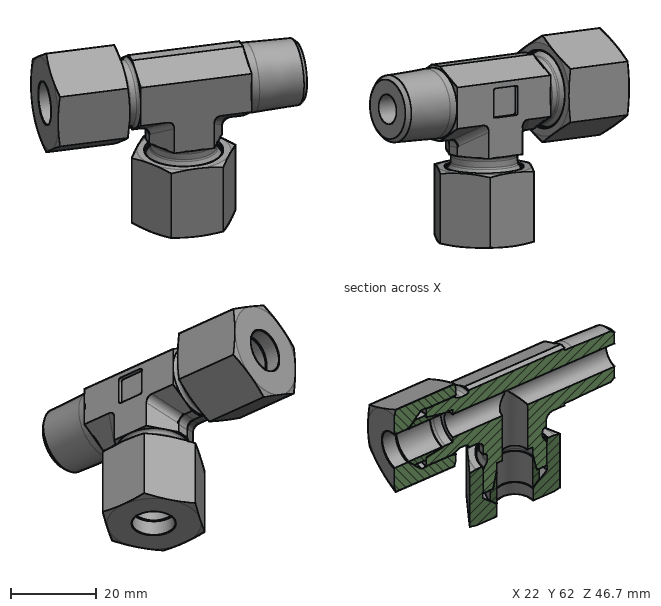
import cadquery as cq
import math


block_width = 17.0
block_height = 17.8
port_shoulder = 13.0
stud_shoulder = 14.0
inner_corner_radius = 2.0
bore_diameter = 7.0

badge_size = 7.0
badge_corner_radius = 0.6
badge_depth = 1.0

stud_end = 28.0
stud_diameter = 16.55
stud_collar_length = 2.0
stud_taper = 1 / 16
stud_chamfer_length = 1.05
stud_tip_diameter = 14.0

neck_diameter = 15.7
neck_length = 2.35
shoulder_fillet_length = 0.9
thread_diameter = 18.0
thread_chamfer_angle = 30
relief_radius = 0.9
port_end = 25.0
socket_bottom = 17.5
socket_diameter = 10.0
mouth_diameter = 12.3
mouth_half_angle = 12

ferrule_diameter = 14.0
ferrule_nose_wall = 0.2
ferrule_back_gap = 0.3

nut_across_flats = 22.0
nut_outer_end = 34.0
nut_length = 17.5
nut_bore_diameter = 10.15
nut_bore_length = 3.8
nut_bore_chamfer = 0.1
nut_countersink_diameter = 18.6
nut_chamfer_angle = 15

hex_corner_ratio = 1 / math.cos(math.pi / 6)
block_corner_radius = block_width / 2 * hex_corner_ratio
bore_radius = bore_diameter / 2
neck_radius = neck_diameter / 2
thread_radius = thread_diameter / 2
socket_radius = socket_diameter / 2
mouth_radius = mouth_diameter / 2
mouth_slope = math.tan(math.radians(mouth_half_angle))
nut_bore_radius = nut_bore_diameter / 2
nut_inner_end = nut_outer_end - nut_length
nut_seat_end = nut_outer_end - nut_bore_length
nut_seat_start = nut_seat_end - (thread_radius - nut_bore_radius)


def revolve_about_run(profile):
    """Turn a closed (radius, distance) profile about the Y axis, pointing it toward -Y."""
    return profile.close().revolve(360, (0, 0, 0), (0, 1, 0)).mirror("XZ")


def turn_to_branch(body):
    """Swing a body from the -Y port to the -Z port."""
    return body.rotate((0, 0, 0), (1, 0, 0), 90)


def hexagon_along_run(across_flats, start, end):
    """Hexagonal bar toward -Y, with flats on +/-X and corners on +/-Z."""
    return (
        cq.Workplane("XZ")
        .polygon(6, across_flats * hex_corner_ratio)
        .extrude(end - start)
        .rotate((0, 0, 0), (0, 1, 0), 30)
        .translate((0, -start, 0))
    )


def block_bar(start, end):
    """Hexagonal bar of the tee block, its top and bottom corners cut flat."""
    length = end - start
    flat_limit = (
        cq.Workplane("XY")
        .box(block_width, length, block_height)
        .translate((0, -(start + end) / 2, 0))
    )
    return hexagon_along_run(block_width, start, end).intersect(flat_limit)


def inner_corner_edges(block):
    """Edges where the run and the branch meet, lying on the planes y = z and y = -z."""
    tolerance = 0.005

    def on_inner_corner(edge):
        center = edge.Center()
        reaches_down = center.z < -block_corner_radius / 2
        return reaches_down and abs(abs(center.y) + center.z) < tolerance

    return block.newObject([edge for edge in block.edges().vals() if on_inner_corner(edge)])


def make_block():
    run = block_bar(-stud_shoulder, port_shoulder)
    branch = turn_to_branch(block_bar(0, port_shoulder))
    block = run.union(branch)
    block = inner_corner_edges(block).fillet(inner_corner_radius)
    badge_recess = (
        cq.Workplane("XY")
        .box(badge_depth, badge_size, badge_size)
        .edges("|X")
        .fillet(badge_corner_radius)
        .translate(((badge_depth - block_width) / 2, 0, 0))
    )
    return block.cut(badge_recess)


def make_stud():
    collar_end = stud_shoulder + stud_collar_length
    chamfer_start = stud_end - stud_chamfer_length
    collar_radius = stud_diameter / 2
    small_radius = collar_radius - stud_taper * (chamfer_start - collar_end) / 2
    profile = (
        cq.Workplane("XY")
        .moveTo(0, stud_shoulder)
        .lineTo(collar_radius, stud_shoulder)
        .lineTo(collar_radius, collar_end)
        .lineTo(small_radius, chamfer_start)
        .lineTo(stud_tip_diameter / 2, stud_end)
        .lineTo(0, stud_end)
    )
    return profile.close().revolve(360, (0, 0, 0), (0, 1, 0))


def make_port():
    """Relieved neck and thread of one port, from the block face out."""
    chamfer_angle = math.radians(thread_chamfer_angle)
    neck_end = port_shoulder + neck_length
    chamfer_start_radius = neck_radius + relief_radius * (1 - math.cos(chamfer_angle))
    chamfer_start = neck_end + relief_radius * math.sin(chamfer_angle)
    chamfer_end = chamfer_start + (thread_radius - chamfer_start_radius) / math.tan(chamfer_angle)
    profile = (
        cq.Workplane("XY")
        .moveTo(0, port_end)
        .lineTo(thread_radius, port_end)
        .lineTo(thread_radius, chamfer_end)
        .lineTo(chamfer_start_radius, chamfer_start)
        .tangentArcPoint((neck_radius, neck_end), relative=False)
        .lineTo(neck_radius, port_shoulder + shoulder_fillet_length)
        .tangentArcPoint((block_width / 2, port_shoulder), relative=False)
        .lineTo(0, port_shoulder)
    )
    return revolve_about_run(profile)


def make_port_cavity():
    """Bore, tube socket and conical mouth of one port."""
    mouth_start = port_end - (mouth_radius - socket_radius) / mouth_slope
    profile = (
        cq.Workplane("XY")
        .moveTo(0, 0)
        .lineTo(bore_radius, 0)
        .lineTo(bore_radius, socket_bottom)
        .lineTo(socket_radius, socket_bottom)
        .lineTo(socket_radius, mouth_start)
        .lineTo(mouth_radius, port_end)
        .lineTo(0, port_end)
    )
    return revolve_about_run(profile)


def make_tee():
    port = make_port()
    cavity = make_port_cavity()
    stud_bore = cq.Workplane("XZ").circle(bore_radius).extrude(-stud_end)
    tee = make_block().union(make_stud()).union(port).union(turn_to_branch(port))
    return tee.cut(stud_bore).cut(cavity).cut(turn_to_branch(cavity))


def make_ferrule():
    """Cutting ring: a nose in the conical mouth, a collar, and a 45-degree back on the nut seat."""
    collar_radius = ferrule_diameter / 2
    nose_radius = socket_radius + ferrule_nose_wall
    nose_start = port_end - (mouth_radius - nose_radius) / mouth_slope
    back_radius = nut_bore_radius + ferrule_back_gap
    back_end = nut_seat_end - ferrule_back_gap
    collar_end = nut_seat_end - (collar_radius - nut_bore_radius)
    profile = (
        cq.Workplane("XY")
        .moveTo(socket_radius, nose_start)
        .lineTo(nose_radius, nose_start)
        .lineTo(mouth_radius, port_end)
        .lineTo(collar_radius, port_end)
        .lineTo(collar_radius, collar_end)
        .lineTo(back_radius, back_end)
        .lineTo(socket_radius, back_end)
    )
    return revolve_about_run(profile)


def make_nut():
    face_radius = nut_across_flats / 2
    corner_radius = face_radius * hex_corner_ratio
    corner_drop = (corner_radius - face_radius) * math.tan(math.radians(nut_chamfer_angle))
    countersink_radius = nut_countersink_diameter / 2
    countersink_end = nut_inner_end + countersink_radius - thread_radius
    profile = (
        cq.Workplane("XY")
        .moveTo(countersink_radius, nut_inner_end)
        .lineTo(face_radius, nut_inner_end)
        .lineTo(corner_radius, nut_inner_end + corner_drop)
        .lineTo(corner_radius, nut_outer_end - corner_drop)
        .lineTo(face_radius, nut_outer_end)
        .lineTo(nut_bore_radius + nut_bore_chamfer, nut_outer_end)
        .lineTo(nut_bore_radius, nut_outer_end - nut_bore_chamfer)
        .lineTo(nut_bore_radius, nut_seat_end)
        .lineTo(thread_radius, nut_seat_start)
        .lineTo(thread_radius, countersink_end)
    )
    hexagon = hexagon_along_run(nut_across_flats, nut_inner_end, nut_outer_end)
    return hexagon.intersect(revolve_about_run(profile))


tee = make_tee().solids()

ferrules = []
nuts = []
for place_on_port in (lambda body: body, turn_to_branch):
    ferrules.append(place_on_port(make_ferrule()).solids().val())
    nuts.append(place_on_port(make_nut()).solids().val())

result = cq.Compound.makeCompound([*tee.vals(), *ferrules, *nuts])